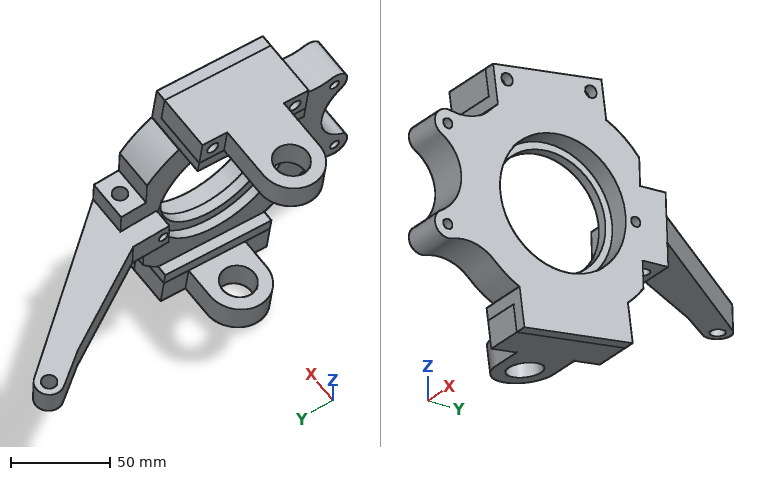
import cadquery as cq
import math


plate_thickness = 23.8
disc_centre = (0, 0)
disc_radius = 60.0
recess_radius = 40.0
recess_depth = 5.5
lip_radius = 34.0
lip_thickness = 6.0
back_bore_radius = 38.2

ear_radius = 7.9
ear_hole_radius = 2.8
ear_y = -69.9
ear_mid_z = -2.0
ear_spacing = 56.5
scoop_radius = 25.0

kingpin_tilt = 7.6
kingpin_height = 143.9
bracket_width = 66.5
bracket_thickness = 15.3
shelf_thickness = 7.0
back_wall_thickness = 7.0
tongue_width = 35.5
kingpin_hole_radius = 10.0
upper_shelf_reach = 39.8
upper_tongue_reach = 88.5
lower_shelf_reach = 30.0
lower_tongue_reach = 66.5
bracket_bolt_radius = 3.5
bracket_bolt_spacing = 51.4

arm_tilt = 2.0
arm_thickness = 14.8
block_inner_y = 47.7
block_outer_y = 63.2
block_height = 41.5
foot_thickness = 11.0
foot_inner_y = 40.7
foot_bolt_radius = 2.8
foot_bolt_y = 44.2
link_hole_radius = 4.2
arm_tip_radius = 7.9
arm_tip_x = -77.3
arm_tip_y = 145.5
arm_bend_x = -69.9
arm_bend_y = 122.4

tongue_radius = tongue_width / 2
bracket_outer_z = kingpin_height / 2
bracket_inner_z = bracket_outer_z - bracket_thickness
shelf_inner_z = bracket_inner_z - shelf_thickness


def box_between(x0, x1, y0, y1, z0, z1):
    """Box spanning the two given corners."""
    return cq.Workplane("XY").box(x1 - x0, y1 - y0, z1 - z0, centered=False).translate((x0, y0, z0))


def rod_along_x(radius, y, z, x0, x1):
    """Cylinder along X between x0 and x1."""
    return cq.Workplane("YZ", origin=(x0, 0, 0)).center(y, z).circle(radius).extrude(x1 - x0)


def rod_along_z(radius, x, y, z0, z1):
    """Cylinder along Z between z0 and z1."""
    return cq.Workplane("XY", origin=(0, 0, z0)).center(x, y).circle(radius).extrude(z1 - z0)


def tilt(body, angle):
    """Turn a body about the X axis, lifting its +Y side."""
    return body.rotate((0, 0, 0), (1, 0, 0), angle)


def toward(start, end, distance):
    """Point at a distance from start on the way to end."""
    share = distance / math.dist(start, end)
    return (start[0] + share * (end[0] - start[0]), start[1] + share * (end[1] - start[1]))


def tangent_point(outside, centre, radius, side):
    """Point where a line from an outside point touches a circle; side +1 or -1 picks which one."""
    heading = math.atan2(outside[1] - centre[1], outside[0] - centre[0])
    angle = heading + side * math.acos(radius / math.dist(outside, centre))
    return (centre[0] + radius * math.cos(angle), centre[1] + radius * math.sin(angle))


def midpoint(start, end):
    """Point halfway between two points."""
    return ((start[0] + end[0]) / 2, (start[1] + end[1]) / 2)


def scoop_centre(ear, side):
    """Centre of the scoop that touches the disc and one ear; side +1 is above the ear, -1 below."""
    to_disc = disc_radius + scoop_radius
    to_ear = ear_radius + scoop_radius
    ear_distance = math.dist(disc_centre, ear)
    cosine = (to_disc**2 + ear_distance**2 - to_ear**2) / (2 * to_disc * ear_distance)
    angle = math.atan2(ear[1], ear[0]) - side * math.acos(cosine)
    return (to_disc * math.cos(angle), to_disc * math.sin(angle))


def make_ear_outline():
    """Both ears with the scoops that blend them into the disc and into each other."""
    top_ear = (ear_y, ear_mid_z + ear_spacing / 2)
    low_ear = (ear_y, ear_mid_z - ear_spacing / 2)
    top_tip = (ear_y - ear_radius, top_ear[1])
    low_tip = (ear_y - ear_radius, low_ear[1])

    top_scoop = scoop_centre(top_ear, 1)
    low_scoop = scoop_centre(low_ear, -1)
    mid_scoop_offset = math.sqrt((scoop_radius + ear_radius) ** 2 - (ear_spacing / 2) ** 2)
    mid_scoop = (ear_y - mid_scoop_offset, ear_mid_z)

    top_start = toward(disc_centre, top_scoop, disc_radius)
    top_end = toward(top_ear, top_scoop, ear_radius)
    low_start = toward(low_ear, low_scoop, ear_radius)
    low_end = toward(disc_centre, low_scoop, disc_radius)
    return (
        cq.Workplane("YZ")
        .moveTo(*disc_centre)
        .lineTo(*top_start)
        .threePointArc(toward(top_scoop, midpoint(top_start, top_end), scoop_radius), top_end)
        .threePointArc(top_tip, toward(top_ear, mid_scoop, ear_radius))
        .threePointArc((mid_scoop[0] + scoop_radius, ear_mid_z), toward(low_ear, mid_scoop, ear_radius))
        .threePointArc(low_tip, low_start)
        .threePointArc(toward(low_scoop, midpoint(low_start, low_end), scoop_radius), low_end)
        .close()
    )


def make_plate():
    """Disc with three flats, joined to the ears and the arm mounting block."""
    plate = rod_along_x(disc_radius, 0, 0, -plate_thickness, 0)
    between_seats = box_between(
        -plate_thickness, 0, -disc_radius, disc_radius, -shelf_inner_z, shelf_inner_z
    )
    plate = plate.intersect(tilt(between_seats, kingpin_tilt))
    beyond_flat = box_between(-plate_thickness, 0, block_inner_y, disc_radius, -disc_radius, disc_radius)
    plate = plate.cut(tilt(beyond_flat, arm_tilt))
    plate = plate.union(make_ear_outline().extrude(-plate_thickness))
    block = box_between(
        -plate_thickness, 0, block_inner_y, block_outer_y, -block_height / 2, block_height / 2
    )
    return plate.union(tilt(block, arm_tilt))


def make_bracket_seat(shelf_reach, half_turn):
    """L-shaped seat: a shelf under the bracket and a wall behind it."""
    half_width = bracket_width / 2
    shelf = box_between(-shelf_reach, 0, -half_width, half_width, shelf_inner_z, bracket_inner_z)
    wall = box_between(-back_wall_thickness, 0, -half_width, half_width, shelf_inner_z, bracket_outer_z)
    return tilt(shelf.union(wall), kingpin_tilt + half_turn)


def make_bracket_bolt_holes():
    """Pair of bolt holes through the upper bracket and the wall behind it."""
    bolt_z = (bracket_inner_z + bracket_outer_z) / 2
    first = rod_along_x(bracket_bolt_radius, bracket_bolt_spacing / 2, bolt_z, -upper_shelf_reach, 0)
    second = rod_along_x(bracket_bolt_radius, -bracket_bolt_spacing / 2, bolt_z, -upper_shelf_reach, 0)
    return tilt(first.union(second), kingpin_tilt)


def make_housing():
    """Plate and bracket seats in one piece, with the bore and all the holes."""
    housing = make_plate()
    housing = housing.union(make_bracket_seat(upper_shelf_reach, 0))
    housing = housing.union(make_bracket_seat(lower_shelf_reach, 180))

    lip_front_x = -plate_thickness + recess_depth
    lip_back_x = lip_front_x + lip_thickness
    housing = housing.cut(rod_along_x(lip_radius, 0, 0, -plate_thickness, 0))
    housing = housing.cut(rod_along_x(recess_radius, 0, 0, -plate_thickness, lip_front_x))
    housing = housing.cut(rod_along_x(back_bore_radius, 0, 0, lip_back_x, 0))

    for side in (-1, 1):
        ear_z = ear_mid_z + side * ear_spacing / 2
        housing = housing.cut(rod_along_x(ear_hole_radius, ear_y, ear_z, -plate_thickness, 0))

    housing = housing.cut(make_bracket_bolt_holes())
    foot_bolt = rod_along_x(foot_bolt_radius, foot_bolt_y, 0, -plate_thickness, 0)
    housing = housing.cut(tilt(foot_bolt, arm_tilt))
    block_hole_y = (block_inner_y + block_outer_y) / 2
    block_hole = rod_along_z(
        link_hole_radius, -plate_thickness / 2, block_hole_y, -block_height / 2, block_height / 2
    )
    return housing.cut(tilt(block_hole, arm_tilt))


def make_bracket(shelf_reach, tongue_reach, half_turn):
    """Kingpin bracket: a block on the seat with a round-ended tongue and its kingpin hole."""
    half_width = bracket_width / 2
    eye_x = -tongue_reach + tongue_radius
    levels = (bracket_inner_z, bracket_outer_z)
    bracket = box_between(-shelf_reach, -back_wall_thickness, -half_width, half_width, *levels)
    bracket = bracket.union(box_between(eye_x, -back_wall_thickness, -tongue_radius, tongue_radius, *levels))
    bracket = bracket.union(rod_along_z(tongue_radius, eye_x, 0, *levels))
    bracket = bracket.cut(rod_along_z(kingpin_hole_radius, eye_x, 0, *levels))
    return tilt(bracket, kingpin_tilt + half_turn)


def make_steering_arm():
    """Tapered arm with a round eye at its tip and a foot bolted to the front of the plate."""
    tip = (arm_tip_x, arm_tip_y)
    foot_front_x = -plate_thickness - foot_thickness
    bend = (arm_bend_x, arm_bend_y)
    heel = (0, block_outer_y)
    arm = (
        cq.Workplane("XY", origin=(0, 0, -arm_thickness / 2))
        .moveTo(*heel)
        .lineTo(*tangent_point(heel, tip, arm_tip_radius, 1))
        .threePointArc(
            toward(tip, bend, -arm_tip_radius), tangent_point(bend, tip, arm_tip_radius, -1)
        )
        .lineTo(*bend)
        .lineTo(foot_front_x, block_outer_y)
        .lineTo(foot_front_x, foot_inner_y)
        .lineTo(-plate_thickness, foot_inner_y)
        .lineTo(-plate_thickness, block_outer_y)
        .close()
        .extrude(arm_thickness)
    )
    arm = arm.cut(rod_along_z(link_hole_radius, *tip, -arm_thickness / 2, arm_thickness / 2))
    arm = arm.cut(rod_along_x(foot_bolt_radius, foot_bolt_y, 0, foot_front_x, -plate_thickness))
    return tilt(arm, arm_tilt)


housing = make_housing()
upper_bracket = make_bracket(upper_shelf_reach, upper_tongue_reach, 0).cut(make_bracket_bolt_holes())
lower_bracket = make_bracket(lower_shelf_reach, lower_tongue_reach, 180)
steering_arm = make_steering_arm()

result = cq.Compound.makeCompound(
    [housing.val(), upper_bracket.val(), lower_bracket.val(), steering_arm.val()]
)